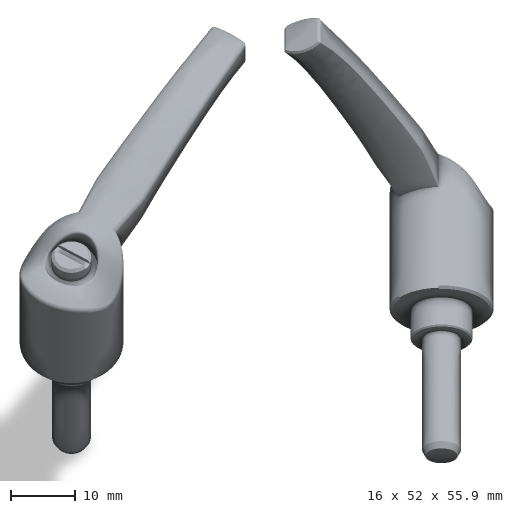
import cadquery as cq
import math

stud_diameter = 6.0
stud_tip_height = 1.0
stud_tip_inset = 0.5
collar_diameter = 9.5
collar_bottom = 20.1
collar_chamfer = 0.2
hub_diameter = 16.0
hub_radius = hub_diameter / 2
hub_bottom = 25.0
hub_chamfer = 0.4

recess_diameter = 8.0
recess_floor = 44.85
recess_rim_fillet = 0.35
screw_diameter = 6.1
screw_top = 47.5
screw_chamfer = 0.45
slot_width = 1.25
slot_depth = 0.65

overall_length = 52.0
overall_height = 55.95
tip_y = overall_length - hub_radius
widest_y = 13.4
neck_y = 7.0
root_y = 5.05
tip_width = 6.3
widest_width = 8.45
neck_width = 6.95
flank_radius = 7.85
edge_fillet = 0.65
arm_tip_chamfer = 0.35

skin_margin = 0.85
skin_half_width = hub_radius + skin_margin
skin_rows = 40
skin_columns = 13
top_crown_radius = 10.05
tip_rise = 0.05
top_profile = [
    (-hub_radius - skin_margin, 43.85), (-7.3, 44.75), (-4.75, 45.55), (-2.05, 45.7), (0, 46.2),
    (1.8, 47.1), (4.1, 48.35), (6.4, 48.9), (13.3, 50.5), (24.85, 53.15), (36.35, 55.1),
    (tip_y, overall_height + tip_rise), (tip_y + skin_margin, 56.15),
]
under_root_crown_radius = 16.8
under_tip_crown_radius = 5.6
under_half_width = 5.05
under_profile = [
    (root_y - skin_margin, 40.85), (7.55, 42.25), (14.1, 45.05), (24.85, 48.1), (32.55, 49.7),
    (38.7, 50.35), (tip_y + skin_margin, 50.0),
]


def solid_below(profile, start_radius, end_radius, half_width, crown_sign):
    """Solid under a skin that follows profile along Y and a circular crown across X.

    The crown curvature changes evenly along the skin; crown_sign is 1 for humped, -1 for hollow.
    """
    centre_line = cq.Edge.makeSpline([cq.Vector(0, y, z) for y, z in profile])
    rows = []
    for row in range(skin_rows + 1):
        progress = row / skin_rows
        centre = centre_line.positionAt(progress)
        crown_radius = 1 / ((1 - progress) / start_radius + progress / end_radius)
        points = []
        for column in range(skin_columns):
            x = half_width * (2 * column / (skin_columns - 1) - 1)
            drop = crown_radius - math.sqrt(crown_radius ** 2 - x ** 2)
            points.append(centre + cq.Vector(x, 0, -crown_sign * drop))
        rows.append(points)
    skin = cq.Face.makeSplineApprox(rows, tol=0.02, minDeg=3, maxDeg=6)
    return cq.Workplane(obj=cq.Solid.extrudeLinear(skin, cq.Vector(0, 0, -overall_height)))


def disc(diameter, bottom, top):
    return cq.Workplane().workplane(offset=bottom).circle(diameter / 2).extrude(top - bottom)


def make_arm_blank():
    """Vertical prism on the plan outline of the arm, with its widest corners rounded."""
    outline = [
        (neck_width / 2, root_y), (neck_width / 2, neck_y), (widest_width / 2, widest_y),
        (tip_width / 2, tip_y), (-tip_width / 2, tip_y), (-widest_width / 2, widest_y),
        (-neck_width / 2, neck_y), (-neck_width / 2, root_y),
    ]
    blank = cq.Workplane().workplane(offset=hub_bottom).polyline(outline).close()
    blank = blank.extrude(overall_height)
    for side in (-1, 1):
        corner = cq.selectors.NearestToPointSelector((side * widest_width / 2, widest_y, overall_height))
        blank = blank.edges("|Z").edges(corner).fillet(flank_radius)
    return blank


def make_handle():
    """Hub and arm under one shared top skin, with its outer edge rounded."""
    hub_blank = disc(hub_diameter, hub_bottom, overall_height).faces("<Z").chamfer(hub_chamfer)
    top_skin = solid_below(top_profile, top_crown_radius, top_crown_radius, skin_half_width, 1)
    under_skin = solid_below(
        under_profile, under_root_crown_radius, under_tip_crown_radius, under_half_width, -1
    )
    under_arm = under_skin.cut(disc(hub_diameter, 0, overall_height))
    handle = hub_blank.union(make_arm_blank()).intersect(top_skin)
    top_face = cq.selectors.NearestToPointSelector((0, tip_y / 2, overall_height))
    handle = handle.faces(top_face).edges("not >Y").fillet(edge_fillet).cut(under_arm)
    return handle.faces(">Y").edges().chamfer(arm_tip_chamfer)


def cut_recess(handle):
    """Flat-bottomed screw recess with a rounded mouth."""
    handle = handle.cut(disc(recess_diameter, recess_floor, overall_height))
    mouth = cq.selectors.NearestToPointSelector((0, 0, overall_height))
    return handle.edges(mouth).fillet(recess_rim_fillet)


def make_screw():
    screw = disc(screw_diameter, hub_bottom, screw_top).faces(">Z").chamfer(screw_chamfer)
    slot = cq.Workplane().box(screw_diameter, slot_width, 2 * slot_depth)
    return screw.cut(slot.translate((0, 0, screw_top)))


def make_stud():
    stud = disc(stud_diameter, 0, hub_bottom)
    return stud.faces("<Z").chamfer(stud_tip_height, stud_tip_inset)


body = cut_recess(make_handle())
collar = disc(collar_diameter, collar_bottom, hub_bottom).faces("<Z").chamfer(collar_chamfer)
result = body.union(collar).union(make_stud()).union(make_screw())